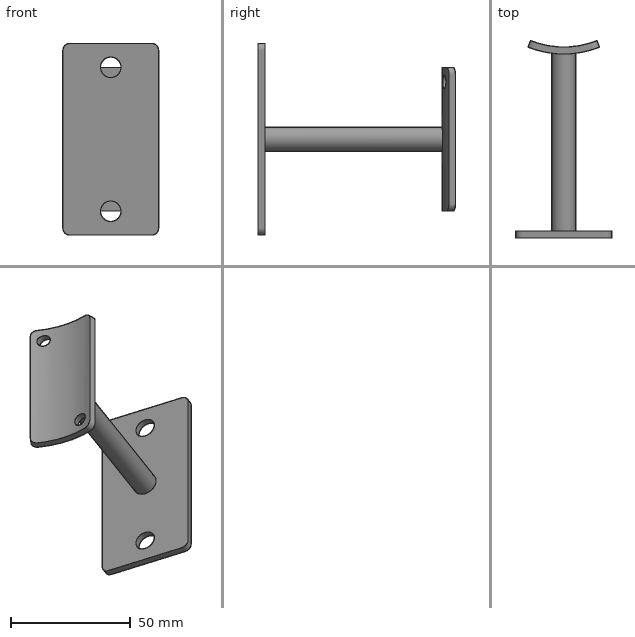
import cadquery as cq
import math

total_depth = 82.4
thickness = 3.0
corner_radius = 3.0

plate_width = 40.0
plate_height = 80.0
plate_hole_diameter = 8.5
plate_hole_z = 30.0

saddle_width = 30.0
saddle_height = 60.0
saddle_radius = 40.0
saddle_hole_diameter = 5.5
saddle_hole_x = 8.5
saddle_hole_z = 24.0

rod_diameter = 10.2

inner_radius = saddle_radius - thickness
half_angle = math.asin(saddle_width / 2 / saddle_radius)
saddle_center_y = total_depth + inner_radius * math.cos(half_angle)
saddle_front_y = saddle_center_y - saddle_radius


def saddle_point(radius, angle):
    """Point on an arc about the saddle axis; angle is measured from -Y."""
    return (radius * math.sin(angle), saddle_center_y - radius * math.cos(angle))


def y_cylinder(diameter, x, z, start_y, end_y):
    """Cylinder along +Y from start_y to end_y."""
    return cq.Workplane(
        cq.Solid.makeCylinder(diameter / 2, end_y - start_y, cq.Vector(x, start_y, z), cq.Vector(0, 1, 0))
    )


def make_plate():
    plate = cq.Workplane("XY").box(plate_width, thickness, plate_height, centered=(True, False, True))
    plate = plate.edges("|Y").fillet(corner_radius)
    for side in (-1, 1):
        plate = plate.cut(y_cylinder(plate_hole_diameter, 0, side * plate_hole_z, 0, thickness))
    return plate


def make_saddle():
    saddle = (
        cq.Workplane("XY", origin=(0, 0, -saddle_height / 2))
        .moveTo(*saddle_point(saddle_radius, -half_angle))
        .threePointArc(saddle_point(saddle_radius, 0), saddle_point(saddle_radius, half_angle))
        .lineTo(*saddle_point(inner_radius, half_angle))
        .threePointArc(saddle_point(inner_radius, 0), saddle_point(inner_radius, -half_angle))
        .close()
        .extrude(saddle_height)
    )
    saddle = saddle.edges("%LINE and (not |Z)").fillet(corner_radius)
    for side in (-1, 1):
        hole = y_cylinder(
            saddle_hole_diameter, side * saddle_hole_x, side * saddle_hole_z, saddle_front_y, total_depth
        )
        saddle = saddle.cut(hole)
    return saddle


def make_rod():
    return y_cylinder(rod_diameter, 0, 0, thickness, saddle_front_y + thickness / 2)


result = make_plate().union(make_rod()).union(make_saddle())